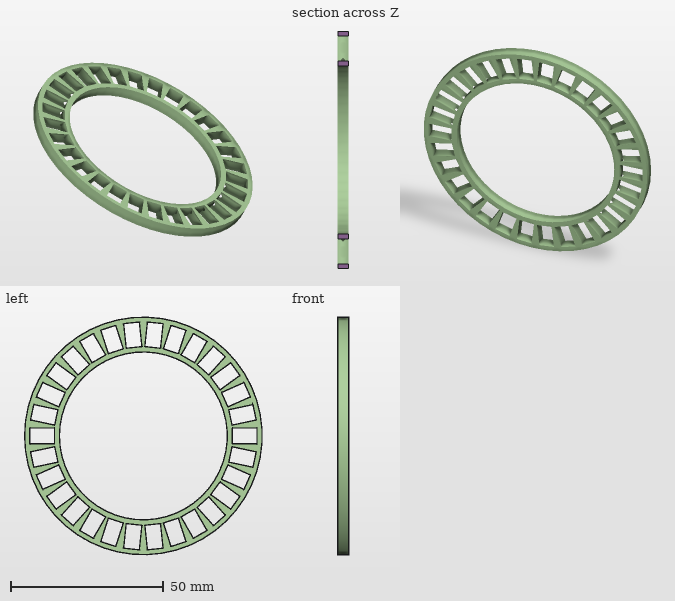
import cadquery as cq

outer_diameter = 78.0
bore_diameter = 55.0
thickness = 3.75

pocket_count = 30
pocket_diameter = 6.3
pocket_length = 8.0

pocket_mid_radius = (outer_diameter + bore_diameter) / 4
pocket_start_radius = pocket_mid_radius - pocket_length / 2
pocket_pitch_angle = 360 / pocket_count


def make_ring():
    """Plain ring centred on the origin, with its axis along X."""
    return (
        cq.Workplane("YZ", origin=(-thickness / 2, 0, 0))
        .circle(outer_diameter / 2)
        .circle(bore_diameter / 2)
        .extrude(thickness)
    )


def make_pocket(angle):
    """Radial cylinder, thicker than the ring, so it opens as a slot in both flat faces."""
    return (
        cq.Workplane("XZ", origin=(0, -pocket_start_radius, 0))
        .circle(pocket_diameter / 2)
        .extrude(pocket_length)
        .rotate((0, 0, 0), (1, 0, 0), angle)
    )


result = make_ring()
for index in range(pocket_count):
    result = result.cut(make_pocket(index * pocket_pitch_angle))